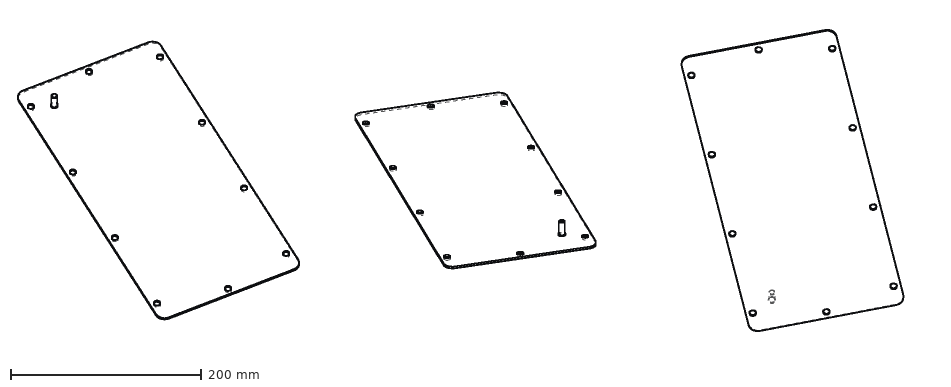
import cadquery as cq

length = 344
width = 167.0
plate_thickness = 2.5
corner_radius = 10.0

hole_diameter = 7.0
edge_distance = 7.5
holes_per_long_side = 4
hole_pitch = 99.5

total_height = 19.0
stud_x = -139.0
stud_y = -53.3
stud_diameter = 6.2
stud_tip_chamfer = 0.7
collar_diameter = 7.5
collar_height = 1.0


def make_plate():
    plate = cq.Workplane("XY").rect(length, width).extrude(plate_thickness)
    return plate.edges("|Z").fillet(corner_radius)


def hole_positions():
    """Rows along both long sides, plus one hole midway along each short side."""
    row_y = width / 2 - edge_distance
    end_x = length / 2 - edge_distance
    first_x = -hole_pitch * (holes_per_long_side - 1) / 2
    positions = [(-end_x, 0), (end_x, 0)]
    for index in range(holes_per_long_side):
        x = first_x + index * hole_pitch
        positions += [(x, -row_y), (x, row_y)]
    return positions


def make_stud():
    base = cq.Workplane("XY").center(stud_x, stud_y)
    collar = base.circle(collar_diameter / 2).extrude(plate_thickness + collar_height)
    stud = base.circle(stud_diameter / 2).extrude(total_height).faces(">Z").chamfer(stud_tip_chamfer)
    return collar.union(stud)


plate = make_plate().faces(">Z").workplane(origin=(0, 0, plate_thickness))
drilled_plate = plate.pushPoints(hole_positions()).hole(hole_diameter)
result = drilled_plate.union(make_stud())